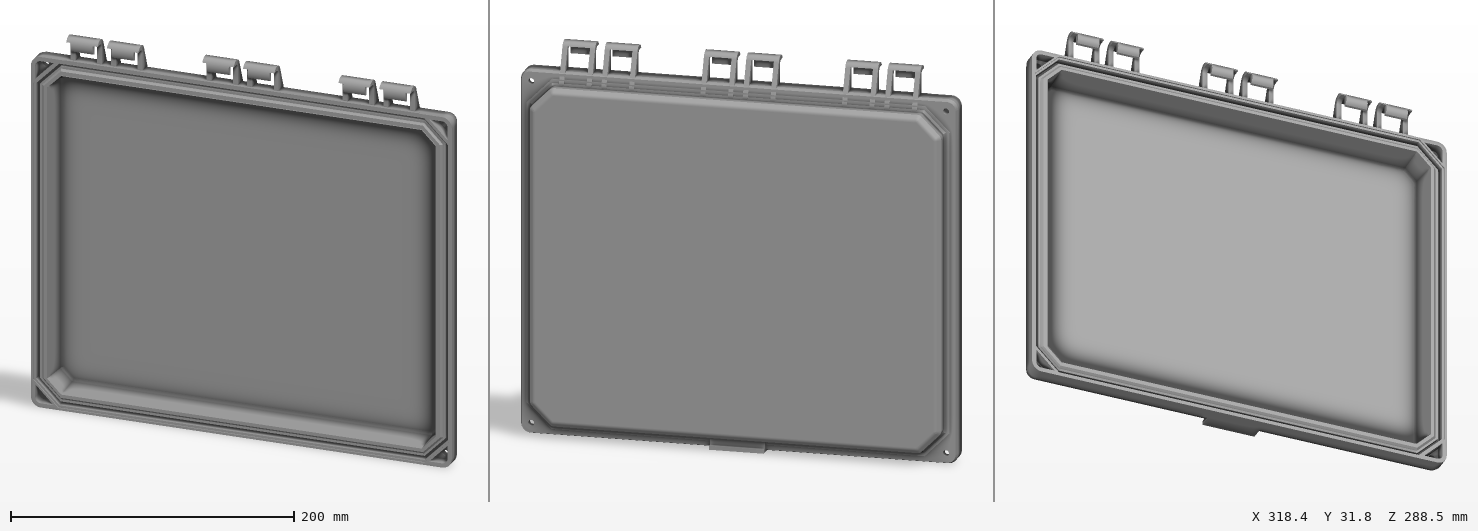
import cadquery as cq
import math

WIDTH = 318.41
HEIGHT = 268.2
LID_DEPTH = 25.4
TOTAL_HEIGHT = 288.52
HOOK_REACH = 6.35

FLANGE_STRAIGHT = 10.0
FLANGE_DEPTH = 13.4
FLANGE_CORNER_RADIUS = 7.4
FLANGE_EDGE_SETBACK = 1.2
LEDGE_INSET = 5.2
LEDGE_DEPTH = 14.6
LEDGE_CORNER_CUT = 18.2

DOME_INSET = 9.4
DOME_CORNER_CUT = 15.6
DOME_EDGE_CHAMFER = 3.4
DOME_EDGE_RADIUS = 3.5
DOME_CORNER_RADIUS = 5.0
DOME_FOOT_FLARE = 1.5

RING_INSET = 1.7
RING_CORNER_CUT = 19.0
RING_CUT_LOSS = 0.8
STEP_DEPTH = 1.0
GROOVE_OUTER_INSET = 3.4
GROOVE_INNER_INSET = 5.8
GROOVE_DEPTH = 6.0
RIB_SHOULDER_INSET = 7.6
RIB_SHOULDER_DEPTH = 2.6
RIB_TOP_INSET = 9.2
CAVITY_INSET = 12.2
CAVITY_FLOOR_INSET = 14.4
CAVITY_DEPTH = 22.4
CAVITY_FLOOR_RADIUS = 2.0

POCKET_INSET = 3.2
POCKET_LEG = 14.0
POCKET_DEPTH = 8.0
HOLE_INSET = 8.2
HOLE_DIAMETER = 4.4

HINGE_PAIR_PITCH = 103.0
HINGE_PAIRS = 3
HINGE_OFFSET = 15.4
HINGE_WIDTH = 23.8
ARM_THICKNESS = 3.7
ARM_FRONT = 2.4
ARM_FOOT_DEPTH = 17.0
ARM_FOOT_DROP = 12.0
HOOK_RADIUS = 6.1
HOOK_THICKNESS = 3.5
HOOK_LIP_DROP = 10.8
LIP_CURL = math.radians(45)
ARM_THROAT_RADIUS = 3.5

BEAD_HALF_LENGTH = 134.0
BEAD_RISE = 0.2

LATCH_WIDTH = 40.0
LATCH_BASE_DEPTH = 16.5
LATCH_BASE_HEIGHT = 10.0
LATCH_LIP_DEPTH = 19.8
LATCH_LIP_THICKNESS = 2.9

FLANGE_TOP = HEIGHT / 2
HOOK_TOP = TOTAL_HEIGHT - HEIGHT / 2


def front_plane(depth):
    """Sketch plane parallel to the rim; extruding from it goes toward the back (+Y)."""
    return cq.Workplane("XZ", origin=(0, depth, 0))


def cut_corner_outline(inset, corner_cut):
    """Points of the lid rectangle moved in by inset, with 45-degree cut corners."""
    x = WIDTH / 2 - inset
    z = HEIGHT / 2 - inset
    c = corner_cut
    return [
        (x - c, z), (x, z - c), (x, c - z), (x - c, -z),
        (c - x, -z), (-x, c - z), (-x, z - c), (c - x, z),
    ]


def ring_outline(inset):
    """Outline of one inside ring; the corner cut shrinks as the rings get smaller."""
    return cut_corner_outline(inset, RING_CORNER_CUT - RING_CUT_LOSS * (inset - RING_INSET))


def prism(outline, start, end):
    """Straight body with the given X-Z outline between two depths."""
    return front_plane(start).polyline(outline).close().extrude(start - end)


def ring_cutter(inset_range, start, end):
    """Ring between two inside outlines and two depths."""
    outer, inner = inset_range
    return prism(ring_outline(outer), start, end).cut(prism(ring_outline(inner), start, end))


def flange():
    body = front_plane(0).rect(WIDTH, HEIGHT).extrude(-FLANGE_DEPTH)
    body = body.edges("|Y").fillet(FLANGE_CORNER_RADIUS)
    body = body.faces(">Y").chamfer(FLANGE_DEPTH - FLANGE_STRAIGHT, FLANGE_EDGE_SETBACK)
    return body


def dome():
    """Raised back panel with a chamfered edge, standing on a low ledge and a flared foot."""
    ledge = prism(cut_corner_outline(LEDGE_INSET, LEDGE_CORNER_CUT), STEP_DEPTH, LEDGE_DEPTH)
    panel = prism(cut_corner_outline(DOME_INSET, DOME_CORNER_CUT), STEP_DEPTH, LID_DEPTH)
    panel = panel.edges("|Y").fillet(DOME_CORNER_RADIUS)
    panel = panel.faces(">Y").chamfer(DOME_EDGE_CHAMFER)
    panel = panel.faces(">Y").edges().fillet(DOME_EDGE_RADIUS)
    foot = prism(
        cut_corner_outline(DOME_INSET - DOME_FOOT_FLARE, DOME_CORNER_CUT),
        STEP_DEPTH, LEDGE_DEPTH + DOME_FOOT_FLARE,
    )
    foot = foot.faces(">Y").chamfer(DOME_FOOT_FLARE)
    return ledge.union(panel).union(foot)


def cavity():
    """Tapered inside space with a rounded floor edge."""
    space = (
        front_plane(0).polyline(ring_outline(CAVITY_INSET)).close()
        .workplane(offset=-CAVITY_DEPTH)
        .polyline(ring_outline(CAVITY_FLOOR_INSET)).close()
        .loft(ruled=True)
    )
    return space.faces(">Y").edges().fillet(CAVITY_FLOOR_RADIUS)


def rim_step():
    """Shallow step behind the outer rim, with a gasket groove and a chamfered inner rib."""
    step = ring_cutter((RING_INSET, CAVITY_INSET), 0, STEP_DEPTH)
    groove = ring_cutter((GROOVE_OUTER_INSET, GROOVE_INNER_INSET), STEP_DEPTH, GROOVE_DEPTH)
    rib = (
        front_plane(STEP_DEPTH).polyline(ring_outline(RIB_TOP_INSET)).close()
        .workplane(offset=STEP_DEPTH - RIB_SHOULDER_DEPTH)
        .polyline(ring_outline(RIB_SHOULDER_INSET)).close()
        .loft(ruled=True)
    )
    shoulder = prism(ring_outline(GROOVE_INNER_INSET), STEP_DEPTH, RIB_SHOULDER_DEPTH).cut(rib)
    return step.union(groove).union(shoulder)


def corner_cutter(x_side, z_side):
    """Triangular front pocket and through screw hole of one corner."""
    x = WIDTH / 2 - POCKET_INSET
    z = HEIGHT / 2 - POCKET_INSET
    points = [(x, z), (x - POCKET_LEG, z), (x, z - POCKET_LEG)]
    pocket = prism([(x_side * px, z_side * pz) for px, pz in points], 0, POCKET_DEPTH)
    outer_edge = cq.selectors.NearestToPointSelector((x_side * x, POCKET_DEPTH / 2, z_side * z))
    pocket = pocket.edges(outer_edge).fillet(FLANGE_CORNER_RADIUS - POCKET_INSET)
    hole_x = x_side * (WIDTH / 2 - HOLE_INSET)
    hole_z = z_side * (HEIGHT / 2 - HOLE_INSET)
    hole = front_plane(0).center(hole_x, hole_z).circle(HOLE_DIAMETER / 2).extrude(-LID_DEPTH)
    return pocket.union(hole)


def side_profile(x_center, width):
    """Y-Z sketch plane set up to extrude across the given width."""
    return cq.Workplane("YZ", origin=(x_center - width / 2, 0, 0))


def roll_point(angle):
    """Point on the round outside of the hook, at an angle from the +Y direction."""
    center_y = HOOK_RADIUS - HOOK_REACH
    center_z = HOOK_TOP - HOOK_RADIUS
    return (center_y + HOOK_RADIUS * math.cos(angle), center_z + HOOK_RADIUS * math.sin(angle))


def slope_tangent_angle(foot_z):
    """Angle at which the sloping arm back runs into the round outside of the hook."""
    dy = ARM_FOOT_DEPTH - (HOOK_RADIUS - HOOK_REACH)
    dz = foot_z - (HOOK_TOP - HOOK_RADIUS)
    return math.atan2(dz, dy) + math.acos(HOOK_RADIUS / math.hypot(dy, dz))


def hinge_arm(x_center):
    """Side arm: sloping back, round top and a rounded throat at the front."""
    throat_top = HOOK_TOP - HOOK_THICKNESS
    foot = FLANGE_TOP - ARM_FOOT_DROP
    throat_mid = ARM_THROAT_RADIUS * (1 - math.sqrt(0.5))
    tip_angle = math.pi - math.asin((HOOK_RADIUS - HOOK_THICKNESS) / HOOK_RADIUS)
    return (
        side_profile(x_center, ARM_THICKNESS)
        .moveTo(ARM_FRONT, foot)
        .lineTo(ARM_FOOT_DEPTH, foot)
        .lineTo(*roll_point(slope_tangent_angle(foot)))
        .threePointArc(roll_point(math.pi / 2), roll_point(tip_angle))
        .lineTo(ARM_FRONT - ARM_THROAT_RADIUS, throat_top)
        .threePointArc(
            (ARM_FRONT - throat_mid, throat_top - throat_mid),
            (ARM_FRONT, throat_top - ARM_THROAT_RADIUS),
        )
        .close()
        .extrude(ARM_THICKNESS)
    )


def hinge_hook(x_center):
    """Rolled bar between the two arms, with a lip hanging down in front."""
    width = HINGE_WIDTH - 2 * ARM_THICKNESS
    throat_top = HOOK_TOP - HOOK_THICKNESS
    lip_bottom = HOOK_TOP - HOOK_LIP_DROP
    lip_inside = HOOK_THICKNESS - HOOK_REACH
    back_angle = math.asin((HOOK_RADIUS - HOOK_THICKNESS) / HOOK_RADIUS)
    return (
        side_profile(x_center, width)
        .moveTo(*roll_point(back_angle))
        .threePointArc(roll_point(math.pi / 2), roll_point(math.pi))
        .threePointArc(roll_point(math.pi + LIP_CURL / 2), roll_point(math.pi + LIP_CURL))
        .lineTo(lip_inside, lip_bottom)
        .lineTo(lip_inside, throat_top)
        .close()
        .extrude(width)
    )


def hinge(x_center):
    arm_offset = (HINGE_WIDTH - ARM_THICKNESS) / 2
    body = hinge_hook(x_center)
    for side in (-1, 1):
        body = body.union(hinge_arm(x_center + side * arm_offset))
    return body


def top_bead():
    return (
        side_profile(0, 2 * BEAD_HALF_LENGTH)
        .moveTo(0, FLANGE_TOP - BEAD_RISE)
        .lineTo(ARM_FRONT, FLANGE_TOP - BEAD_RISE)
        .lineTo(ARM_FRONT, FLANGE_TOP + BEAD_RISE)
        .lineTo(0, FLANGE_TOP + BEAD_RISE)
        .close()
        .extrude(2 * BEAD_HALF_LENGTH)
    )


def latch_lip():
    """L-shaped lip at the middle of the bottom edge."""
    bottom = -HEIGHT / 2
    return (
        side_profile(0, LATCH_WIDTH)
        .moveTo(FLANGE_STRAIGHT, bottom)
        .lineTo(LATCH_LIP_DEPTH, bottom)
        .lineTo(LATCH_LIP_DEPTH, bottom + LATCH_LIP_THICKNESS)
        .lineTo(LATCH_BASE_DEPTH, bottom + LATCH_LIP_THICKNESS)
        .lineTo(LATCH_BASE_DEPTH, bottom + LATCH_BASE_HEIGHT)
        .lineTo(FLANGE_STRAIGHT, bottom + LATCH_BASE_HEIGHT)
        .close()
        .extrude(LATCH_WIDTH)
    )


lid = flange().union(dome()).union(top_bead()).union(latch_lip())
for pair in range(HINGE_PAIRS):
    pair_x = (pair - (HINGE_PAIRS - 1) / 2) * HINGE_PAIR_PITCH
    for side in (-1, 1):
        lid = lid.union(hinge(pair_x + side * HINGE_OFFSET))

lid = lid.cut(rim_step()).cut(cavity())
for x_side in (-1, 1):
    for z_side in (-1, 1):
        lid = lid.cut(corner_cutter(x_side, z_side))

result = lid